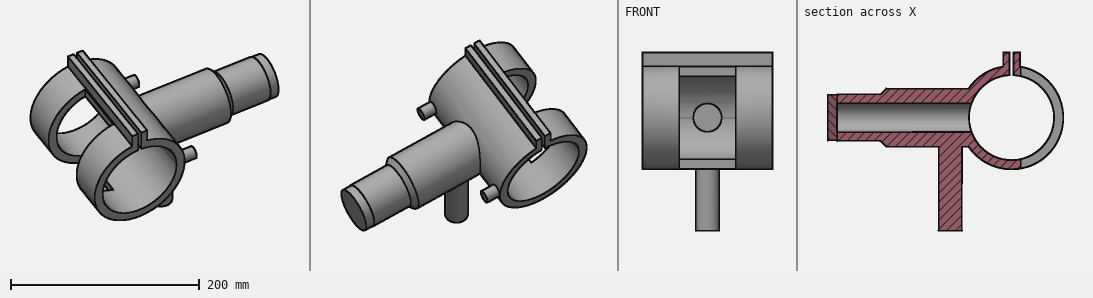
import cadquery as cq
import math

clamp_length = 138.0
clamp_outer_radius = 55.0
clamp_bore_radius = 45.0
slit_width = 4.0
flange_thickness = 7.0
flange_height = 15.0
flange_half_span = slit_width / 2 + flange_thickness
flange_top = math.sqrt(clamp_outer_radius**2 - flange_half_span**2) + flange_height

window_width = 60.0
window_edge_y = -10.0

neck_radius = 25.0
boss_radius = 31.0
boss_chamfer = boss_radius - neck_radius
boss_end_y = 139.0
neck_end_y = 185.0
chimney_bore_radius = 15.0

outlet_radius = 12.5
outlet_y = 65.0
outlet_bottom = -120.0

terminal_radius = 7.0
terminal_x = 61.5
terminal_end_y = 70.0

cap_radius = 24.5
cap_thickness = 10.0


def cylinder_along_y(radius, start_y, end_y, x=0.0):
    """Solid cylinder parallel to Y, with its axis at the given X and at Z = 0."""
    return cq.Workplane("XZ", origin=(x, start_y, 0)).circle(radius).extrude(start_y - end_y)


def cylinder_along_x(radius):
    """Solid cylinder on the X axis, as long as the clamp and centred on the origin."""
    return cq.Workplane("YZ", origin=(-clamp_length / 2, 0, 0)).circle(radius).extrude(clamp_length)


def make_chimney():
    boss = cylinder_along_y(boss_radius, 0, boss_end_y).faces(">Y").chamfer(boss_chamfer)
    return boss.union(cylinder_along_y(neck_radius, 0, neck_end_y))


def make_outlet():
    return cq.Workplane("XY").center(0, outlet_y).circle(outlet_radius).extrude(outlet_bottom)


def make_flange_block():
    """One block for both flanges, which the slit later parts in two."""
    span = 2 * flange_half_span
    return cq.Workplane("XY").box(clamp_length, span, flange_top, centered=(True, True, False))


def make_slit():
    return cq.Workplane("XY").box(clamp_length, slit_width, flange_top, centered=(True, True, False))


def make_window():
    depth = clamp_outer_radius + window_edge_y
    center_y = window_edge_y - depth / 2
    return cq.Workplane("XY").box(window_width, depth, 2 * clamp_outer_radius).translate((0, center_y, 0))


def make_housing():
    housing = cylinder_along_x(clamp_outer_radius)
    housing = housing.union(make_flange_block())
    housing = housing.union(make_chimney())
    housing = housing.union(make_outlet())
    for side in (-1, 1):
        housing = housing.union(cylinder_along_y(terminal_radius, 0, terminal_end_y, side * terminal_x))
    housing = housing.cut(cylinder_along_x(clamp_bore_radius))
    housing = housing.cut(make_slit())
    housing = housing.cut(make_window())
    housing = housing.cut(cylinder_along_y(chimney_bore_radius, 0, neck_end_y))
    return housing


def make_cap():
    return cylinder_along_y(cap_radius, neck_end_y, neck_end_y + cap_thickness)


housing = make_housing()
cap = make_cap()

result = cq.Compound.makeCompound([housing.val(), cap.val()])